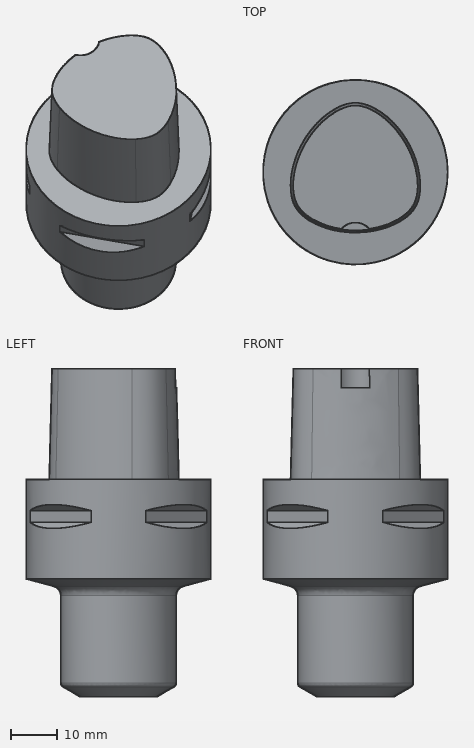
import cadquery as cq
import math


taper_height = 24.0
taper_base_width = 28.1
taper_ratio = 1 / 20
taper_top_width = taper_base_width - taper_height * taper_ratio
lobe_count = 3
lobe_height = 0.96
lobe_direction = math.radians(90)
span_count = 2 * lobe_count
span_segments = 12

flange_diameter = 40.0
flange_height = 21.5
flange_cone_slope = math.radians(15)
shank_diameter = 25.0
shank_end_diameter = 16.6
shank_chamfer_slope = math.radians(30)
body_height = 47.0
neck_fillet = 2.0
shank_edge_fillet = 1.0

groove_count = 4
groove_first_angle = 45.0
groove_depth = 2.3
groove_floor_width = 2.5
groove_wall_slope = math.radians(30)
groove_center_z = -8.0
groove_clearance = 1.0

notch_radius = 4.0
notch_depth = 4.1
notch_back_y = -10.9


def polygon_point(width, angle):
    """Point of the constant-width curve whose outward normal has the given angle."""
    phase = lobe_count * (angle - lobe_direction)
    support = width / 2 + lobe_height * math.cos(phase)
    support_slope = -lobe_count * lobe_height * math.sin(phase)
    x = support * math.cos(angle) - support_slope * math.sin(angle)
    y = support * math.sin(angle) + support_slope * math.cos(angle)
    return x, y


def add_polygon_outline(plane, width):
    """Draw the polygon curve as equal spans that meet between the lobes and the flanks."""
    span_angle = 2 * math.pi / span_count
    for index in range(span_count):
        start = index * span_angle
        plane = plane.parametricCurve(
            lambda t, start=start: polygon_point(width, start + t * span_angle),
            N=span_segments,
            makeWire=False,
        )
    return plane.consolidateWires()


def make_taper():
    base = add_polygon_outline(cq.Workplane("XY"), taper_base_width)
    top = add_polygon_outline(cq.Workplane("XY", origin=(0, 0, taper_height)), taper_top_width)
    return cq.Workplane(cq.Solid.makeLoft([base.val(), top.val()], True))


def fillet_ring(body, ring_radius, ring_z, fillet_radius):
    """Round the circular edge of the given radius that lies at height ring_z."""
    margin = fillet_radius / 10
    ring_box = cq.selectors.BoxSelector(
        (-ring_radius, -ring_radius, ring_z - margin),
        (ring_radius, ring_radius, ring_z + margin),
    )
    return body.edges("%CIRCLE").edges(ring_box).fillet(fillet_radius)


def make_body():
    flange_radius = flange_diameter / 2
    shank_radius = shank_diameter / 2
    end_radius = shank_end_diameter / 2
    neck_z = -flange_height - (flange_radius - shank_radius) * math.tan(flange_cone_slope)
    chamfer_z = -body_height + (shank_radius - end_radius) * math.tan(shank_chamfer_slope)
    body = (
        cq.Workplane("XZ")
        .moveTo(0, 0)
        .lineTo(flange_radius, 0)
        .lineTo(flange_radius, -flange_height)
        .lineTo(shank_radius, neck_z)
        .lineTo(shank_radius, chamfer_z)
        .lineTo(end_radius, -body_height)
        .lineTo(0, -body_height)
        .close()
        .revolve(360, (0, 0, 0), (0, 1, 0))
    )
    body = fillet_ring(body, shank_radius, neck_z, neck_fillet)
    return fillet_ring(body, shank_radius, chamfer_z, shank_edge_fillet)


def make_groove_cutter(angle):
    """Straight bar with sloping walls, lying across the flange at the given angle."""
    floor_x = flange_diameter / 2 - groove_depth
    outer_x = flange_diameter / 2 + groove_clearance
    floor_half = groove_floor_width / 2
    outer_half = floor_half + (outer_x - floor_x) * math.tan(groove_wall_slope)
    return (
        cq.Workplane("XZ")
        .moveTo(floor_x, groove_center_z - floor_half)
        .lineTo(outer_x, groove_center_z - outer_half)
        .lineTo(outer_x, groove_center_z + outer_half)
        .lineTo(floor_x, groove_center_z + floor_half)
        .close()
        .extrude(flange_diameter / 2, both=True)
        .rotate((0, 0, 0), (0, 0, 1), angle)
    )


def make_notch_cutter():
    return (
        cq.Workplane("XY", origin=(0, notch_back_y - notch_radius, taper_height - notch_depth))
        .circle(notch_radius)
        .extrude(notch_depth)
    )


result = make_body().union(make_taper())
for index in range(groove_count):
    groove_angle = groove_first_angle + index * 360 / groove_count
    result = result.cut(make_groove_cutter(groove_angle))
result = result.cut(make_notch_cutter())